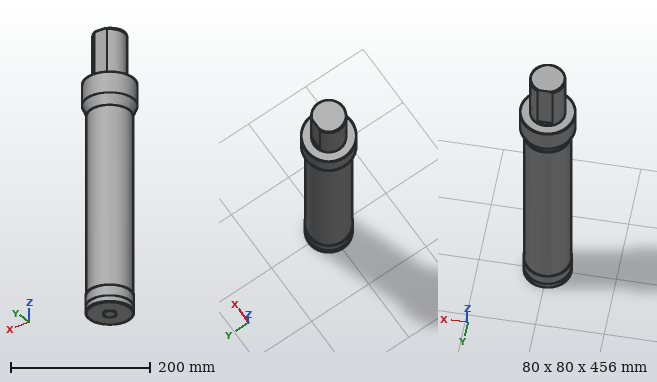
import cadquery as cq

TOTAL_HEIGHT = 456.0
COLLAR_TOP = 376.0
COLLAR_BOTTOM = 341.5
NECK_TOP = 325.0
BASE_BAND_TOP = 29.5
BASE_STEP_HEIGHT = 12.0
FOOT_BOTTOM = 1.5

COLLAR_RADIUS = 80.0 / 2
COLLAR_CHAMFER = 1.0
TUBE_RADIUS = 68.0 / 2
BASE_RADIUS = 69.8 / 2
FOOT_RADIUS = 69.5 / 2
FOOT_CHAMFER = 1.5
BOSS_RADIUS = 9.5
NECK_CHAMFER = 1.0

ROD_RADIUS = 50.5 / 2
ROD_CHAMFER_WIDTH = 1.0
ROD_CHAMFER_HEIGHT = 2.7
FLAT_OFFSET = 23.0
FLAT_BOTTOM = COLLAR_TOP + 5.5
SOCKET_BOTTOM = COLLAR_BOTTOM


def make_rod():
    """Round rod with a bevelled top and a shallow flat on its +Y side."""
    rod = (
        cq.Workplane("XY")
        .workplane(offset=SOCKET_BOTTOM)
        .circle(ROD_RADIUS)
        .extrude(TOTAL_HEIGHT - SOCKET_BOTTOM)
        .faces(">Z")
        .chamfer(ROD_CHAMFER_HEIGHT, ROD_CHAMFER_WIDTH)
    )
    flat_depth = ROD_RADIUS - FLAT_OFFSET
    flat_cut = (
        cq.Workplane("YZ")
        .moveTo(FLAT_OFFSET, TOTAL_HEIGHT)
        .lineTo(FLAT_OFFSET, FLAT_BOTTOM)
        .lineTo(ROD_RADIUS, FLAT_BOTTOM - flat_depth)
        .lineTo(ROD_RADIUS, TOTAL_HEIGHT)
        .close()
        .extrude(ROD_RADIUS, both=True)
    )
    return rod.cut(flat_cut)


def make_housing():
    """Turned tube with a collar, a base band and a blind socket for the rod."""
    housing = (
        cq.Workplane("XZ")
        .moveTo(0, 0)
        .lineTo(BOSS_RADIUS, 0)
        .lineTo(BOSS_RADIUS, FOOT_BOTTOM)
        .lineTo(FOOT_RADIUS - FOOT_CHAMFER, FOOT_BOTTOM)
        .lineTo(FOOT_RADIUS, FOOT_BOTTOM + FOOT_CHAMFER)
        .lineTo(FOOT_RADIUS, BASE_STEP_HEIGHT)
        .lineTo(BASE_RADIUS, BASE_STEP_HEIGHT)
        .lineTo(BASE_RADIUS, BASE_BAND_TOP)
        .lineTo(TUBE_RADIUS, BASE_BAND_TOP)
        .lineTo(TUBE_RADIUS, NECK_TOP - NECK_CHAMFER)
        .lineTo(TUBE_RADIUS - NECK_CHAMFER, NECK_TOP)
        .lineTo(COLLAR_RADIUS, COLLAR_BOTTOM)
        .lineTo(COLLAR_RADIUS, COLLAR_TOP - COLLAR_CHAMFER)
        .lineTo(COLLAR_RADIUS - COLLAR_CHAMFER, COLLAR_TOP)
        .lineTo(0, COLLAR_TOP)
        .close()
        .revolve(360, (0, 0, 0), (0, 1, 0))
    )
    socket = (
        cq.Workplane("XY")
        .workplane(offset=SOCKET_BOTTOM)
        .circle(ROD_RADIUS)
        .extrude(COLLAR_TOP - SOCKET_BOTTOM)
    )
    return housing.cut(socket)


rod = make_rod()
housing = make_housing()

result = cq.Compound.makeCompound([housing.val(), rod.val()])